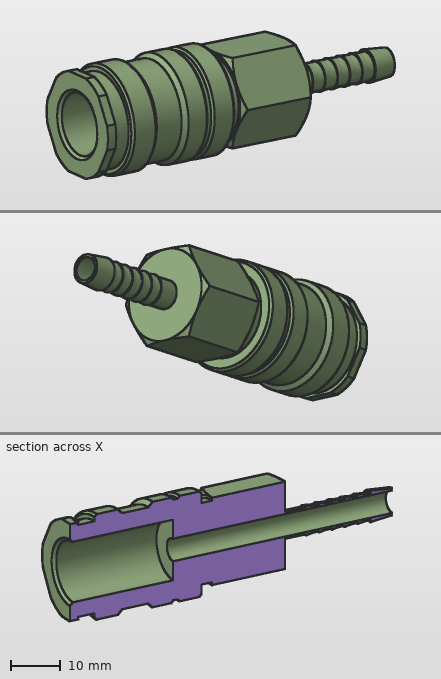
import cadquery as cq
import math

length = 75.0

sleeve_radius = 11.51
edge_chamfer = 0.5
waist_radius = 10.5
waist_chamfer = sleeve_radius - waist_radius
front_band_start = 5.7
waist_start = 12.2
waist_end = 18.2
sleeve_end = 30.7
groove_radius = sleeve_radius - edge_chamfer
groove_start = 24.15
groove_end = 25.05

collar_radius = 11.0
collar_across_flats = 21.15
collar_length = 2.0
collar_neck_radius = 10.05

nut_across_flats = 19.05
nut_start = 33.1
nut_end = 50.1
nut_chamfer_angle = math.radians(30)
nut_neck_radius = 8.9

tail_radius = 3.0
ridge_radius = 3.2
ridge_count = 5
ridge_pitch = 3.0
ridge_taper_length = 1.6
barb_radius = 3.45
barb_length = 4.95
barb_start = length - barb_length

socket_radius = 6.5
socket_depth = 24.0
mouth_chamfer = 0.7
passage_radius = 2.4


def revolve_about_y(outline):
    """Turn a closed (radius, y) outline about the Y axis."""
    return cq.Workplane("XY").polyline(outline).close().revolve(360, (0, 0, 0), (0, 1, 0))


def cylinder(radius, start, end):
    return revolve_about_y([(0, start), (radius, start), (radius, end), (0, end)])


def cone(start_radius, end_radius, start, end):
    return revolve_about_y([(0, start), (start_radius, start), (end_radius, end), (0, end)])


def hexagon_bar(across_flats, start, end):
    """Hexagonal bar along Y with two flats facing +Z and -Z."""
    across_corners = across_flats / math.cos(math.radians(30))
    bar = cq.Workplane("XZ", origin=(0, start, 0)).polygon(6, across_corners)
    return bar.extrude(start - end)


def make_collar():
    flats = hexagon_bar(collar_across_flats, 0, collar_length)
    return cylinder(collar_radius, 0, collar_length).intersect(flats)


def make_sleeve():
    outline = [
        (0, front_band_start),
        (sleeve_radius - edge_chamfer, front_band_start),
        (sleeve_radius, front_band_start + edge_chamfer),
        (sleeve_radius, waist_start - waist_chamfer),
        (waist_radius, waist_start),
        (waist_radius, waist_end),
        (sleeve_radius, waist_end + waist_chamfer),
        (sleeve_radius, groove_start - edge_chamfer),
        (groove_radius, groove_start),
        (groove_radius, groove_end),
        (sleeve_radius, groove_end + edge_chamfer),
        (sleeve_radius, sleeve_end - edge_chamfer),
        (sleeve_radius - edge_chamfer, sleeve_end),
        (0, sleeve_end),
    ]
    return revolve_about_y(outline)


def make_nut():
    """Hexagonal nut whose corners are turned down at both ends."""
    flat_radius = nut_across_flats / 2
    corner_radius = flat_radius / math.cos(math.radians(30))
    chamfer_length = (corner_radius - flat_radius) * math.tan(nut_chamfer_angle)
    turned_blank = revolve_about_y([
        (0, nut_start),
        (flat_radius, nut_start),
        (corner_radius, nut_start + chamfer_length),
        (corner_radius, nut_end - chamfer_length),
        (flat_radius, nut_end),
        (0, nut_end),
    ])
    return hexagon_bar(nut_across_flats, nut_start, nut_end).intersect(turned_blank)


def make_hose_tail():
    """Plain tube with tapered ridges and a larger barb at the tip."""
    tail = cylinder(tail_radius, nut_end, barb_start)
    for index in range(ridge_count):
        ridge_start = barb_start - (index + 1) * ridge_pitch
        ridge_end = ridge_start + ridge_taper_length
        tail = tail.union(cone(ridge_radius, tail_radius, ridge_start, ridge_end))
    return tail.union(cone(barb_radius, tail_radius, barb_start, length))


def make_passage():
    """Chamfered socket bore that continues as a narrow hole to the tip."""
    mouth = cone(socket_radius + mouth_chamfer, socket_radius, 0, mouth_chamfer)
    socket = cylinder(socket_radius, 0, socket_depth)
    return cylinder(passage_radius, 0, length).union(socket).union(mouth)


collar_neck = cylinder(collar_neck_radius, collar_length, front_band_start)
nut_neck = cylinder(nut_neck_radius, sleeve_end, nut_start)

body = make_collar()
for section in (collar_neck, make_sleeve(), nut_neck, make_nut(), make_hose_tail()):
    body = body.union(section)

result = body.cut(make_passage())